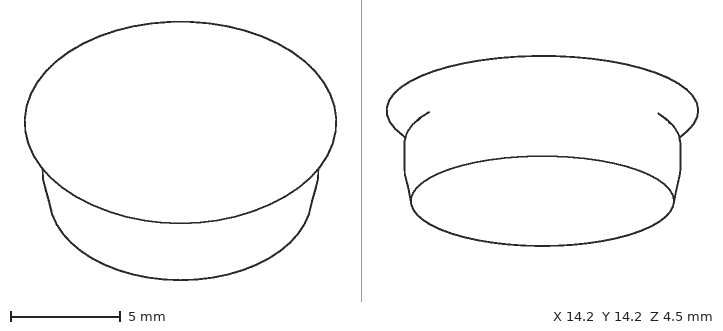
import cadquery as cq
import math

height = 4.5
rim_radius = 7.11
rim_round = 0.1
flange_underside_z = 3.9
flange_blend = 0.45
body_radius = 12.6 / 2
body_top_z = 2.75
taper_top_z = 1.5
bottom_radius = 6.0
groove_round = 0.4
groove_bottom_radius = 5.89

diagonal = math.sqrt(0.5)


def on_circle(center, radius, angle):
    """Point of a profile circle at an angle in radians from the radial direction."""
    return (center[0] + radius * math.cos(angle), center[1] + radius * math.sin(angle))


rim_center = (rim_radius - rim_round, height - rim_round)
cone_outer = on_circle(rim_center, rim_round, -math.pi / 4)

blend_depth = flange_blend * (1 - diagonal)
cone_inner_z = flange_underside_z + blend_depth
cone_inner = (cone_outer[0] - (cone_outer[1] - cone_inner_z), cone_inner_z)
blend_center = (cone_inner[0] - flange_blend * diagonal, flange_underside_z + flange_blend)

groove_center = (groove_bottom_radius + groove_round, flange_underside_z - groove_round)

center_rise = groove_center[1] - body_top_z
center_offset = groove_center[0] - body_radius
shoulder_round = (center_rise**2 + center_offset**2 - groove_round**2) / (2 * (groove_round - center_offset))
shoulder_center = (body_radius - shoulder_round, body_top_z)
shoulder_angle = math.atan2(center_rise, groove_center[0] - shoulder_center[0])
shoulder_start = on_circle(shoulder_center, shoulder_round, shoulder_angle)

profile = (
    cq.Workplane("XZ")
    .moveTo(0, height)
    .lineTo(rim_center[0], height)
    .threePointArc((rim_radius, rim_center[1]), cone_outer)
    .lineTo(*cone_inner)
    .threePointArc(
        on_circle(blend_center, flange_blend, -3 * math.pi / 8),
        (blend_center[0], flange_underside_z),
    )
    .lineTo(groove_center[0], flange_underside_z)
    .threePointArc((groove_bottom_radius, groove_center[1]), shoulder_start)
    .threePointArc(
        on_circle(shoulder_center, shoulder_round, shoulder_angle / 2),
        (body_radius, body_top_z),
    )
    .lineTo(body_radius, taper_top_z)
    .lineTo(bottom_radius, 0)
    .lineTo(0, 0)
    .close()
)

result = profile.revolve(360, (0, 0, 0), (0, 1, 0))